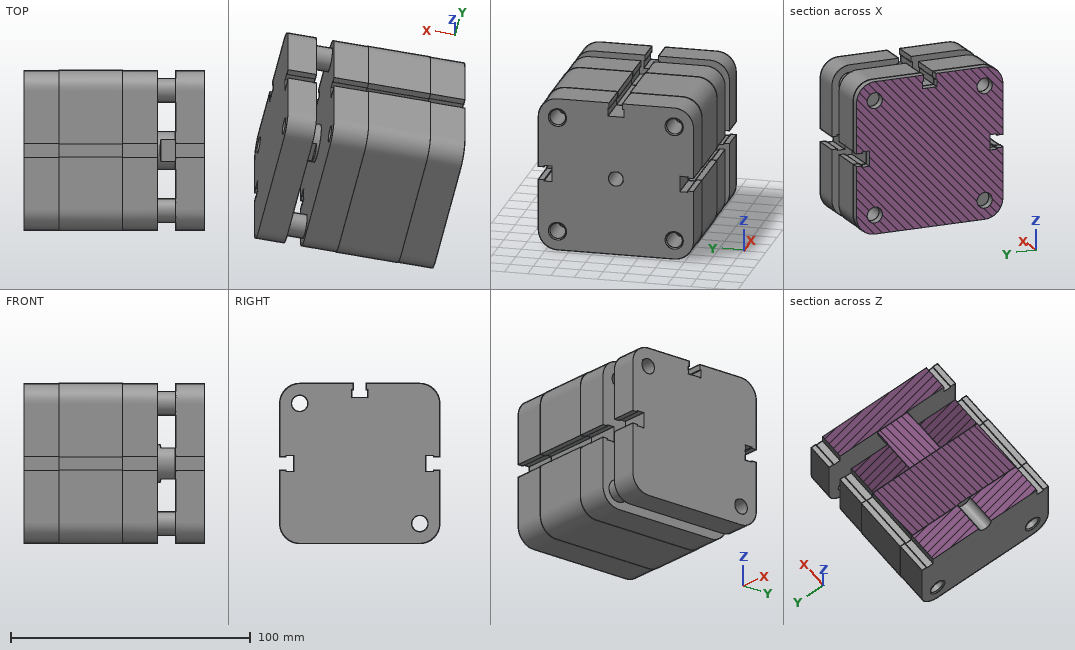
import cadquery as cq

TOTAL_LENGTH = 75.5
SIDE = 67.0
CORNER_RADIUS = 8.5
CAP_LENGTH = 14.7
BARREL_LENGTH = 26.4
YOKE_THICKNESS = 12.15

CAP_INSET = 0.15

THROAT_WIDTH = 5.35
INNER_WIDTH = 6.5
LIP_DEPTH = 2.8
SLOT_DEPTH = 5.9

CORNER_OFFSET = 25.1
HOLE_DIAMETER = 6.7
HOLE_CHAMFER = 0.5
PORT_DIAMETER = 6.35
GUIDE_DIAMETER = 10.05

ROD_DIAMETER = 16.0
ROD_TIP_CHAMFER = 0.3
FLAT_WIDTH = 13.05
FLAT_SHOULDER = 1.0
FLAT_RUN_OUT = 0.4

barrel_start = CAP_LENGTH
front_cap_start = barrel_start + BARREL_LENGTH
front_cap_end = front_cap_start + CAP_LENGTH
yoke_start = TOTAL_LENGTH - YOKE_THICKNESS

guide_points = [(sign * CORNER_OFFSET, sign * CORNER_OFFSET) for sign in (1, -1)]
open_points = [(sign * CORNER_OFFSET, -sign * CORNER_OFFSET) for sign in (1, -1)]
corner_points = guide_points + open_points


def cylinders(points, diameter, start, end):
    """Round bars along X from start to end, centred on (Y, Z) points."""
    return (
        cq.Workplane("YZ", origin=(start, 0, 0))
        .pushPoints(points)
        .circle(diameter / 2)
        .extrude(end - start)
    )


def t_slot(start, length, inset):
    """Cutter for a T-slot along X that opens at the +Z side; inset widens it on every face."""
    floor_z = SIDE / 2 - SLOT_DEPTH - inset
    throat_height = SIDE / 2 - floor_z
    inner_height = SLOT_DEPTH - LIP_DEPTH + 2 * inset
    base = cq.Workplane("XY", origin=(start, 0, floor_z))
    throat = base.box(length, THROAT_WIDTH + 2 * inset, throat_height, centered=(False, True, False))
    inner = base.box(length, INNER_WIDTH + 2 * inset, inner_height, centered=(False, True, False))
    return throat.union(inner)


def slotted_block(start, length, inset):
    """Rounded square block with T-slots on +Z, +Y and -Y; inset moves every side face inward."""
    side = SIDE - 2 * inset
    block = (
        cq.Workplane("YZ", origin=(start, 0, 0))
        .rect(side, side)
        .extrude(length)
        .edges("|X")
        .fillet(CORNER_RADIUS - inset)
    )
    slot = t_slot(start, length, inset)
    for angle in (-90, 0, 90):
        block = block.cut(slot.rotate((0, 0, 0), (1, 0, 0), angle))
    return block


def make_rear_cap():
    """End cap with chamfered corner holes and a central port."""
    cap = slotted_block(0, CAP_LENGTH, CAP_INSET)
    cap = cap.cut(cylinders(corner_points, HOLE_DIAMETER, 0, CAP_LENGTH))
    hole_mouths = (
        cq.Workplane("YZ")
        .pushPoints(corner_points)
        .circle(HOLE_DIAMETER / 2 + HOLE_CHAMFER)
        .extrude(HOLE_CHAMFER, taper=45)
    )
    cap = cap.cut(hole_mouths)
    return cap.cut(cylinders([(0, 0)], PORT_DIAMETER, 0, CAP_LENGTH))


def make_barrel():
    """Middle block with the corner holes running through."""
    barrel = slotted_block(barrel_start, BARREL_LENGTH, 0)
    return barrel.cut(cylinders(corner_points, HOLE_DIAMETER, barrel_start, front_cap_start))


def make_front_cap():
    """End cap bored for the piston rod and the two guide rods."""
    cap = slotted_block(front_cap_start, CAP_LENGTH, CAP_INSET)
    cap = cap.cut(cylinders(open_points, HOLE_DIAMETER, front_cap_start, front_cap_end))
    cap = cap.cut(cylinders(guide_points, GUIDE_DIAMETER, front_cap_start, front_cap_end))
    return cap.cut(cylinders([(0, 0)], ROD_DIAMETER, front_cap_start, front_cap_end))


def make_piston_rod():
    """Rod through the front cap, with two wrench flats facing +Z and -Z."""
    rod = cylinders([(0, 0)], ROD_DIAMETER, front_cap_start, yoke_start)
    rod = rod.faces(">X").chamfer(ROD_TIP_CHAMFER)
    radius = ROD_DIAMETER / 2
    flat_start = front_cap_end + FLAT_SHOULDER
    flat_cutter = (
        cq.Workplane("XZ")
        .moveTo(flat_start, radius)
        .lineTo(flat_start + FLAT_RUN_OUT, FLAT_WIDTH / 2)
        .lineTo(yoke_start, FLAT_WIDTH / 2)
        .lineTo(yoke_start, radius)
        .close()
        .extrude(radius, both=True)
    )
    return rod.cut(flat_cutter).cut(flat_cutter.mirror("XY"))


def make_yoke():
    """Front plate with the two guide rods that slide in the front cap."""
    plate = slotted_block(yoke_start, YOKE_THICKNESS, CAP_INSET)
    plate = plate.cut(cylinders(open_points, HOLE_DIAMETER, yoke_start, TOTAL_LENGTH))
    return plate.union(cylinders(guide_points, GUIDE_DIAMETER, front_cap_start, yoke_start))


rear_cap = make_rear_cap()
barrel = make_barrel()
front_cap = make_front_cap()
piston_rod = make_piston_rod()
yoke = make_yoke()

result = cq.Compound.makeCompound(
    [rear_cap.val(), barrel.val(), front_cap.val(), piston_rod.val(), yoke.val()]
)